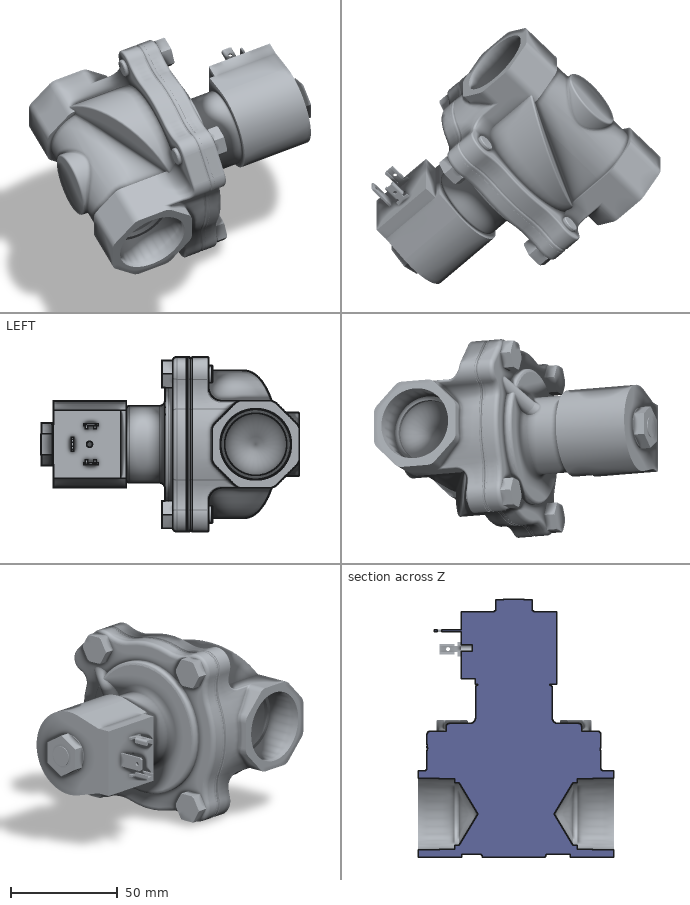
import cadquery as cq
import math


FLATS = 41.0
HALF_FLATS = FLATS / 2
END_CENTRE_X = 1.0
BODY_LENGTH = 92.0
INLET_X = END_CENTRE_X - BODY_LENGTH / 2
OUTLET_X = END_CENTRE_X + BODY_LENGTH / 2
OCTAGON_LENGTH = 20.7
OCTAGON_EDGE_RADIUS = 5.0
PIPE_RADIUS = 18.9
PORT_RADIUS = 16.75
PORT_END_RADIUS = 16.4
PORT_DEPTH = 17.2
THROAT_RADIUS = 14.6
THROAT_DEPTH = 19.2
DRILL_HALF_ANGLE = math.radians(59)
SHOULDER_FILLET = 0.8
WALL_FILLET = 6.0
PLUG_RADIUS = 15.0
PLUG_EDGE = 0.8
PLUG_ROOT_FILLET = 0.9
DOME_RADIUS = 34.8
DOME_LOW_POINT = (-28.5, -8.2)
DOME_HIGH_POINT = (27.9, 17.9)
DOME_EDGE = 0.8
DOME_FOOT_FILLET = 0.8

RIM_RADIUS = 41.045
BOLT_X = 29.0
BOLT_Z = 33.0
LUG_RADIUS = RIM_RADIUS - BOLT_Z
WAIST_RADIUS = 20.0
PILOT_X = 40.6
PILOT_Z = 24.0
PILOT_LUG_RADIUS = 6.2
PILOT_WAIST_RADIUS = 5.0
FLANGE_Y = 22.0
FLANGE_EDGE = 0.8
GASKET_Y = 29.9
GASKET_INSET = 0.3
COVER_Y = 30.7
COVER_TOP_Y = 39.05
COVER_TOP_FILLET = 2.0
COVER_LOW_FILLET = 0.9
COVER_GROOVE_Y = 31.8
COVER_GROOVE_WIDTH = 0.9
COVER_GROOVE_DEPTH = 0.12

HEAD_CORNERS = 14.8
HEAD_TOP_Y = 44.1
HEAD_CHAMFER = 0.4
SHANK_RADIUS = 4.05
SHANK_END_Y = 20.2
SHANK_EDGE = 0.4

BONNET_RADIUS = 32.0
BONNET_TOP_Y = 42.6
BONNET_EDGE = 1.6
NECK_RADIUS = 18.1
NECK_ROOT_FILLET = 2.6
NECK_TOP_FILLET = 1.4
TUBE_RADIUS = 3.6
TUBE_ROOT_RADIUS = 4.4
TUBE_ROOT_LENGTH = 3.6
TUBE_START = (13.0, 47.1, 8.7)
TUBE_END = (33.0, 34.9, 22.0)

COIL_Y = 60.7
COIL_TOP_Y = 95.0
COIL_RADIUS = 20.35
CONNECTOR_BACK_X = -18.3
CONNECTOR_FACE_X = -24.7
CONNECTOR_HALF_WIDTH = 15.9
CONNECTOR_Y = 63.3
SCREW_HOLE_Y = 78.0
SCREW_HOLE_RADIUS = 1.4
SCREW_HOLE_DEPTH = 5.0

EARTH_TIP_X = -37.5
EARTH_Y = 86.0
EARTH_WIDTH = 6.4
EARTH_TIP_CHAMFER = 0.8
EARTH_HOLE_SETBACK = 2.6
BLADE_THICKNESS = 1.0
BLADE_HOLE_RADIUS = 0.9
BLADE_EMBED = 1.0
LIVE_TIP_X = -35.0
LIVE_HOLE_SETBACK = 4.1
LIVE_Y = 77.4
LIVE_OUTER_Z = 9.7
LIVE_HEAD_LENGTH = 7.2
LIVE_HEAD_WIDTH = 5.0
LIVE_NECK_WIDTH = 2.8
LIVE_BASE_LENGTH = 1.7
LIVE_BASE_WIDTH = 6.8
LIVE_LIP_THICKNESS = 1.1
LIVE_LIP_DEPTH = 2.4
LIVE_BEND_RADIUS = 1.0

WASHER_RADIUS = 9.4
WASHER_THICKNESS = 0.6
NUT_CORNERS = 20.0
NUT_TOP_Y = 100.6
NUT_TURN = 30.0
STEM_RADIUS = 4.8
TOP_Y = 121.46 - HALF_FLATS

SIZE_TOLERANCE = 0.01
OCTAGON_TOP_FLAT = (HALF_FLATS - OCTAGON_EDGE_RADIUS) * math.tan(math.pi / 8) - SIZE_TOLERANCE
LUGS = [(x, z) for x in (-BOLT_X, BOLT_X) for z in (-BOLT_Z, BOLT_Z)]


def section_at(y):
    """Workplane across the solenoid axis at height y (local axes X, Z)."""
    return cq.Workplane("XZ", origin=(0, y, 0))


def disc(radius, y_low, y_high, x=0.0, z=0.0):
    return section_at(y_low).center(x, z).circle(radius).extrude(y_low - y_high)


def box(x_range, y_range, z_range):
    (x0, x1), (y0, y1), (z0, z1) = x_range, y_range, z_range
    return cq.Workplane("XY").box(x1 - x0, y1 - y0, z1 - z0, centered=False).translate((x0, y0, z0))


def point_on(circle, angle):
    cx, cz, radius = circle
    return (cx + radius * math.cos(angle), cz + radius * math.sin(angle))


def angle_to(circle, point):
    return math.atan2(point[1] - circle[1], point[0] - circle[0])


def blend_centre(first, second, radius):
    """Centre of a circle touching both circles from outside, right of the way from first to second."""
    dx, dz = second[0] - first[0], second[1] - first[1]
    distance = math.hypot(dx, dz)
    reach_a = first[2] + radius
    reach_b = second[2] + radius
    along = (distance**2 + reach_a**2 - reach_b**2) / (2 * distance)
    aside = math.sqrt(reach_a**2 - along**2)
    return (
        first[0] + (along * dx + aside * dz) / distance,
        first[1] + (along * dz - aside * dx) / distance,
    )


def tangent_angle(first, second):
    """Direction of the contact points of the outer tangent, right of the way from first to second."""
    dx, dz = second[0] - first[0], second[1] - first[1]
    lean = math.acos((first[2] - second[2]) / math.hypot(dx, dz))
    return math.atan2(dz, dx) - lean


def flange_outline(y):
    """Closed wire: rim circle, four bolt lugs and the pilot lug, joined by blends and one tangent."""
    rim = (0.0, 0.0, RIM_RADIUS)
    pilot = (PILOT_X, PILOT_Z, PILOT_LUG_RADIUS)
    upper_right, upper_left, lower_left, lower_right = [
        (sx * BOLT_X, sz * BOLT_Z, LUG_RADIUS) for sx, sz in ((1, 1), (-1, 1), (-1, -1), (1, -1))
    ]
    lobes = [rim, pilot, upper_right, rim, upper_left, rim, lower_left, rim, lower_right]
    joints = []
    for first, second in zip(lobes, lobes[1:] + lobes[:1]):
        if rim not in (first, second):
            angle = tangent_angle(first, second)
            joints.append((angle, angle, None))
            continue
        radius = PILOT_WAIST_RADIUS if pilot in (first, second) else WAIST_RADIUS
        centre = blend_centre(first, second, radius)
        towards_rim = math.atan2(-centre[1], -centre[0])
        other = second if first is rim else first
        towards_lug = angle_to((*centre, radius), other)
        turn = math.remainder(towards_lug - towards_rim, 2 * math.pi)
        dip = point_on((*centre, radius), towards_rim + turn / 2)
        joints.append((angle_to(first, centre), angle_to(second, centre), dip))

    outline = section_at(y).moveTo(*point_on(lobes[0], joints[-1][1]))
    for index, lobe in enumerate(lobes):
        entry = joints[index - 1][1]
        leave, next_entry, dip = joints[index]
        sweep = (leave - entry) % (2 * math.pi)
        outline = outline.threePointArc(point_on(lobe, entry + sweep / 2), point_on(lobe, leave))
        next_lobe = lobes[(index + 1) % len(lobes)]
        next_point = point_on(next_lobe, next_entry)
        outline = outline.lineTo(*next_point) if dip is None else outline.threePointArc(dip, next_point)
    return outline.close()


def flange_plate(y_low, y_high, inset=0.0):
    outline = flange_outline(y_low)
    if inset:
        outline = outline.offset2D(-inset)
    return outline.extrude(y_low - y_high)


def octagon_end(x_start):
    half_corner = HALF_FLATS / math.cos(math.pi / 8)
    corners = [
        (half_corner * math.cos(a), half_corner * math.sin(a))
        for a in (math.pi / 8 + k * math.pi / 4 for k in range(8))
    ]
    end = cq.Workplane("YZ", origin=(x_start, 0, 0)).polyline(corners).close().extrude(OCTAGON_LENGTH)
    return end.edges("|X").fillet(OCTAGON_EDGE_RADIUS)


def pipe():
    """Round below the flow axis, with flat side walls rising to the flange."""
    return (
        cq.Workplane("YZ", origin=(INLET_X + OCTAGON_LENGTH / 2, 0, 0))
        .moveTo(0, PIPE_RADIUS)
        .threePointArc((-PIPE_RADIUS, 0), (0, -PIPE_RADIUS))
        .lineTo(FLANGE_Y, -PIPE_RADIUS)
        .lineTo(FLANGE_Y, PIPE_RADIUS)
        .close()
        .extrude(BODY_LENGTH - OCTAGON_LENGTH)
    )


def body_flange():
    """Flange with the shoulder walls over both pipe ends flaring into it, lower edges rounded."""
    flare_y = FLANGE_Y - WALL_FILLET
    flare_z = HALF_FLATS + WALL_FILLET
    bend = WALL_FILLET * (1 - math.sqrt(0.5))
    profile = (
        cq.Workplane("YZ", origin=(INLET_X, 0, 0))
        .moveTo(0, -HALF_FLATS)
        .lineTo(flare_y, -HALF_FLATS)
        .threePointArc((FLANGE_Y - bend, -HALF_FLATS - bend), (FLANGE_Y, -flare_z))
        .lineTo(FLANGE_Y, -RIM_RADIUS)
        .lineTo(GASKET_Y, -RIM_RADIUS)
        .lineTo(GASKET_Y, RIM_RADIUS)
        .lineTo(FLANGE_Y, RIM_RADIUS)
        .lineTo(FLANGE_Y, flare_z)
        .threePointArc((FLANGE_Y - bend, HALF_FLATS + bend), (flare_y, HALF_FLATS))
        .lineTo(0, HALF_FLATS)
        .close()
        .extrude(BODY_LENGTH)
    )
    flange = profile.intersect(flange_plate(0, GASKET_Y))
    lower_edges = flange.edges("not |X").filter(is_lower_flange_edge)
    middle = box(
        (INLET_X + OCTAGON_LENGTH, OUTLET_X - OCTAGON_LENGTH), (0, FLANGE_Y), (-flare_z, flare_z)
    )
    return lower_edges.fillet(FLANGE_EDGE).cut(middle)


def is_lower_flange_edge(edge):
    """True along the flange underside, the flares and the upright corners of the shoulder walls."""
    extent = edge.BoundingBox()
    below_flange = SIZE_TOLERANCE < extent.ymax < FLANGE_Y + SIZE_TOLERANCE and extent.ymin > -SIZE_TOLERANCE
    upright = extent.xlen < SIZE_TOLERANCE and extent.zlen < SIZE_TOLERANCE
    on_wall = abs(abs(edge.Center().z) - HALF_FLATS) < SIZE_TOLERANCE
    return below_flange and (on_wall or not upright)


def dome():
    """Upright cylinder cut off by a slanted plane."""
    (x0, y0), (x1, y1) = DOME_LOW_POINT, DOME_HIGH_POINT
    slope = (y1 - y0) / (x1 - x0)
    low_y = y0 + slope * (-DOME_RADIUS - x0)
    high_y = y0 + slope * (DOME_RADIUS - x0)
    wedge = (
        cq.Workplane("XY")
        .polyline([
            (-DOME_RADIUS, low_y),
            (DOME_RADIUS, high_y),
            (DOME_RADIUS, FLANGE_Y),
            (-DOME_RADIUS, FLANGE_Y),
        ])
        .close()
        .extrude(DOME_RADIUS, both=True)
    )
    solid = disc(DOME_RADIUS, low_y, FLANGE_Y).intersect(wedge)
    return solid.faces("<Y").edges().fillet(DOME_EDGE)


def is_dome_foot(edge):
    """True for the two straight slanted edges where the dome face meets the pipe walls."""
    extent = edge.BoundingBox()
    on_wall = abs(abs(edge.Center().z) - PIPE_RADIUS) < SIZE_TOLERANCE
    return on_wall and extent.xlen > SIZE_TOLERANCE and extent.ylen > SIZE_TOLERANCE


def is_plug_root(edge):
    """True for the saddle-shaped edges where the plug enters the pipe."""
    extent = edge.BoundingBox()
    within_plug = extent.xmax < PLUG_RADIUS + SIZE_TOLERANCE and extent.xmin > -PLUG_RADIUS - SIZE_TOLERANCE
    return within_plug and extent.ylen > SIZE_TOLERANCE and extent.ymax < 0 and edge.geomType() != "LINE"


def is_shoulder_foot(edge):
    """True for the curved edges where a shoulder stands on the upper faces of a pipe end."""
    extent = edge.BoundingBox()
    on_octagon = extent.ymin > OCTAGON_TOP_FLAT and extent.ymax < HALF_FLATS + SIZE_TOLERANCE
    crosses = extent.xlen > SIZE_TOLERANCE and edge.geomType() != "LINE"
    return on_octagon and crosses and abs(edge.Center().z) < HALF_FLATS - 2 * SHOULDER_FILLET


def port(x_mouth, inward):
    """Tapered, stepped bore with a drill-point bottom; inward is +1 or -1 along X."""
    point_depth = THROAT_DEPTH + THROAT_RADIUS / math.tan(DRILL_HALF_ANGLE)
    stations = [
        (0, PORT_RADIUS),
        (PORT_DEPTH, PORT_END_RADIUS),
        (PORT_DEPTH, THROAT_RADIUS),
        (THROAT_DEPTH, THROAT_RADIUS),
    ]
    profile = [(x_mouth, 0)]
    profile += [(x_mouth + inward * depth, radius) for depth, radius in stations]
    profile.append((x_mouth + inward * point_depth, 0))
    return cq.Workplane("XY").polyline(profile).close().revolve(360, (0, 0, 0), (1, 0, 0))


def valve_body():
    ends = body_flange().union(octagon_end(INLET_X)).union(octagon_end(OUTLET_X - OCTAGON_LENGTH))
    ends = ends.edges().filter(is_shoulder_foot).fillet(SHOULDER_FILLET)
    plug = disc(PLUG_RADIUS, -HALF_FLATS, 0)
    core = pipe().union(plug).union(dome())
    core = core.edges().filter(is_dome_foot).fillet(DOME_FOOT_FILLET)
    core = core.edges().filter(is_plug_root).fillet(PLUG_ROOT_FILLET)
    core = core.faces("<Y").edges().fillet(PLUG_EDGE)
    body = ends.union(core)
    return body.cut(port(INLET_X, 1)).cut(port(OUTLET_X, -1))


def cover():
    plate = flange_plate(COVER_Y, COVER_TOP_Y)
    plate = plate.faces(">Y").edges().fillet(COVER_TOP_FILLET)
    plate = plate.faces("<Y").edges().fillet(COVER_LOW_FILLET)
    groove_top = COVER_GROOVE_Y + COVER_GROOVE_WIDTH
    groove = flange_plate(COVER_GROOVE_Y, groove_top).cut(
        flange_plate(COVER_GROOVE_Y, groove_top, COVER_GROOVE_DEPTH)
    )
    return plate.cut(groove).union(flange_plate(GASKET_Y, COVER_Y, GASKET_INSET))


def hex_prism(corners, y_low, y_high, x=0.0, z=0.0, turn=0.0):
    hexagon = section_at(y_low).center(x, z).polygon(6, corners).extrude(y_low - y_high)
    return hexagon.rotate((x, 0, z), (x, 1, z), turn)


def bolt(x, z):
    head = hex_prism(HEAD_CORNERS, COVER_TOP_Y, HEAD_TOP_Y, x, z)
    crown = disc(HEAD_CORNERS / 2, COVER_TOP_Y, HEAD_TOP_Y, x, z).faces(">Y").edges().chamfer(HEAD_CHAMFER)
    shank = disc(SHANK_RADIUS, SHANK_END_Y, COVER_TOP_Y, x, z).faces("<Y").edges().chamfer(SHANK_EDGE)
    return head.intersect(crown).union(shank)


def bonnet():
    root_y = BONNET_TOP_Y + NECK_ROOT_FILLET
    quarter = 1 - math.sqrt(0.5)
    profile = (
        cq.Workplane("XY")
        .moveTo(0, COVER_Y)
        .lineTo(BONNET_RADIUS, COVER_Y)
        .lineTo(BONNET_RADIUS, BONNET_TOP_Y - BONNET_EDGE)
        .threePointArc(
            (BONNET_RADIUS - BONNET_EDGE * quarter, BONNET_TOP_Y - BONNET_EDGE * quarter),
            (BONNET_RADIUS - BONNET_EDGE, BONNET_TOP_Y),
        )
        .lineTo(NECK_RADIUS + NECK_ROOT_FILLET, BONNET_TOP_Y)
        .threePointArc(
            (NECK_RADIUS + NECK_ROOT_FILLET * quarter, BONNET_TOP_Y + NECK_ROOT_FILLET * quarter),
            (NECK_RADIUS, root_y),
        )
        .lineTo(NECK_RADIUS, COIL_Y - NECK_TOP_FILLET)
        .threePointArc(
            (NECK_RADIUS - NECK_TOP_FILLET * quarter, COIL_Y - NECK_TOP_FILLET * quarter),
            (NECK_RADIUS - NECK_TOP_FILLET, COIL_Y),
        )
        .lineTo(0, COIL_Y)
        .close()
    )
    return profile.revolve(360, (0, 0, 0), (0, 1, 0))


def pilot_tube():
    """Slanted tube from the neck down towards the pilot lug, with a conical root."""
    start = cq.Vector(*TUBE_START)
    axis = cq.Vector(*TUBE_END) - start
    tube = cq.Solid.makeCylinder(TUBE_RADIUS, axis.Length, start, axis)
    root = cq.Solid.makeCone(TUBE_ROOT_RADIUS, TUBE_RADIUS, TUBE_ROOT_LENGTH, start, axis)
    return cq.Workplane(tube).union(cq.Workplane(root))


def coil():
    """Round coil with flanks running tangentially to the connector block."""
    corner = (CONNECTOR_BACK_X, CONNECTOR_HALF_WIDTH)
    touch = math.atan2(corner[1], corner[0]) - math.acos(COIL_RADIUS / math.hypot(*corner))
    touch_x = COIL_RADIUS * math.cos(touch)
    touch_z = COIL_RADIUS * math.sin(touch)
    winding = (
        section_at(COIL_Y)
        .moveTo(corner[0], -corner[1])
        .lineTo(touch_x, -touch_z)
        .threePointArc((COIL_RADIUS, 0), (touch_x, touch_z))
        .lineTo(*corner)
        .close()
        .extrude(COIL_Y - COIL_TOP_Y)
    )
    connector = box(
        (CONNECTOR_FACE_X, CONNECTOR_BACK_X),
        (CONNECTOR_Y, COIL_TOP_Y),
        (-CONNECTOR_HALF_WIDTH, CONNECTOR_HALF_WIDTH),
    )
    screw_hole = (
        cq.Workplane("YZ", origin=(CONNECTOR_FACE_X, SCREW_HOLE_Y, 0))
        .circle(SCREW_HOLE_RADIUS)
        .extrude(SCREW_HOLE_DEPTH)
    )
    return winding.union(connector).cut(screw_hole)


def earth_blade():
    half_thickness = BLADE_THICKNESS / 2
    blade = box(
        (EARTH_TIP_X, CONNECTOR_FACE_X + BLADE_EMBED),
        (EARTH_Y - half_thickness, EARTH_Y + half_thickness),
        (-EARTH_WIDTH / 2, EARTH_WIDTH / 2),
    )
    blade = blade.faces("<X").edges("|Y").chamfer(EARTH_TIP_CHAMFER)
    hole_x = EARTH_TIP_X + EARTH_HOLE_SETBACK
    hole = disc(BLADE_HOLE_RADIUS, EARTH_Y - BLADE_THICKNESS, EARTH_Y + BLADE_THICKNESS, hole_x)
    return blade.cut(hole)


def live_blade(side):
    """Stepped blade with both long edges folded inward; side is +1 or -1 along Z."""
    def strip(x_range, y_low, y_high, depth):
        z_range = sorted((side * LIVE_OUTER_Z, side * (LIVE_OUTER_Z - depth)))
        return box(x_range, (y_low, y_high), z_range)

    root_x = CONNECTOR_FACE_X + BLADE_EMBED
    head_range = (LIVE_TIP_X, LIVE_TIP_X + LIVE_HEAD_LENGTH)
    low_y, high_y = LIVE_Y - LIVE_HEAD_WIDTH / 2, LIVE_Y + LIVE_HEAD_WIDTH / 2
    blade = strip(head_range, low_y, high_y, LIVE_LIP_DEPTH)
    blade = blade.faces(">Z" if side > 0 else "<Z").edges("|X").fillet(LIVE_BEND_RADIUS)
    channel = strip(head_range, low_y + LIVE_LIP_THICKNESS, high_y - LIVE_LIP_THICKNESS, LIVE_LIP_DEPTH)
    floor = strip(head_range, low_y, high_y, BLADE_THICKNESS)
    blade = blade.cut(channel.cut(floor))
    for start_x, width in (
        (LIVE_TIP_X, LIVE_NECK_WIDTH),
        (CONNECTOR_FACE_X - LIVE_BASE_LENGTH, LIVE_BASE_WIDTH),
    ):
        blade = blade.union(strip((start_x, root_x), LIVE_Y - width / 2, LIVE_Y + width / 2, BLADE_THICKNESS))
    hole = (
        cq.Workplane("XY")
        .center(LIVE_TIP_X + LIVE_HOLE_SETBACK, LIVE_Y)
        .circle(BLADE_HOLE_RADIUS)
        .extrude(LIVE_OUTER_Z, both=True)
    )
    return blade.cut(hole)


def retaining_nut():
    seat_y = COIL_TOP_Y + WASHER_THICKNESS
    nut = hex_prism(NUT_CORNERS, seat_y, NUT_TOP_Y, turn=NUT_TURN)
    return disc(WASHER_RADIUS, COIL_TOP_Y, seat_y).union(nut).union(disc(STEM_RADIUS, seat_y, TOP_Y))


def solenoid():
    unit = bonnet().union(pilot_tube()).union(coil()).union(earth_blade())
    return unit.union(live_blade(1)).union(live_blade(-1)).union(retaining_nut())


def valve():
    assembly = valve_body().union(cover()).union(solenoid())
    for x, z in LUGS:
        assembly = assembly.union(bolt(x, z))
    return assembly


result = valve()